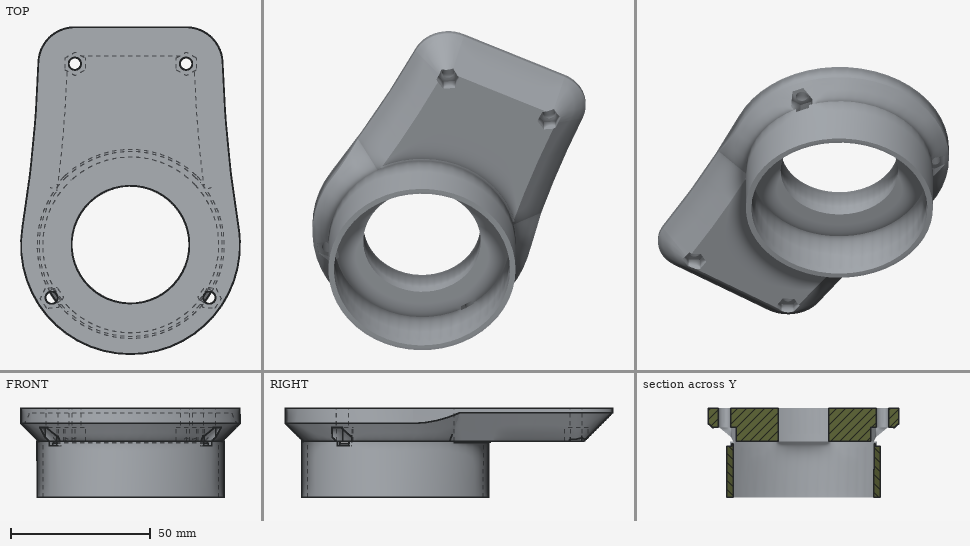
import cadquery as cq
import math

round_end_radius = 39.2
arm_corner_radius = 13.1
arm_corner_x = 19.9
plate_length = 117.1
arm_corner_y = plate_length - round_end_radius - arm_corner_radius
side_arc_radius = 433.3
plate_height = 12.0
arm_edge_height = 1.6
bevel_angle = 45.0
collar_foot_radius = 32.8
port_diameter = 42.0

screw_diameter = 4.3
front_screw_x = 28.2
front_screw_y = -19.0
nut_across_flats = 7.3
nut_pocket_top = -6.9

tube_outer_diameter = 67.0
tube_inner_diameter = 63.0
tube_length = 20.0
tube_outer_radius = tube_outer_diameter / 2

notch_width = 5.0
notch_outer_depth = 1.6
notch_through_depth = 0.7
notch_floor_width = 1.5

bead_width = 0.7
bead_edge_height = 0.2
bead_tube_height = 0.5
bead_start_y = 21.7

front_screws = [(-front_screw_x, front_screw_y), (front_screw_x, front_screw_y)]
arm_screws = [(-arm_corner_x, arm_corner_y), (arm_corner_x, arm_corner_y)]


def plate_outline(z):
    """Plate outline at height z; the side arcs are tangent to the round end and the arm corners."""
    to_end = side_arc_radius + round_end_radius
    to_corner = side_arc_radius + arm_corner_radius
    spacing = math.hypot(arm_corner_x, arm_corner_y)
    along = (to_end**2 - to_corner**2 + spacing**2) / (2 * spacing)
    angle = math.atan2(arm_corner_y, arm_corner_x) - math.acos(along / to_end)
    centre_x = to_end * math.cos(angle)
    centre_y = to_end * math.sin(angle)
    corner_angle = math.atan2(centre_y - arm_corner_y, centre_x - arm_corner_x)
    middle_angle = (angle + corner_angle) / 2

    end_x = round_end_radius * math.cos(angle)
    end_y = round_end_radius * math.sin(angle)
    middle_x = centre_x - side_arc_radius * math.cos(middle_angle)
    middle_y = centre_y - side_arc_radius * math.sin(middle_angle)
    corner_x = arm_corner_x + arm_corner_radius * math.cos(corner_angle)
    corner_y = arm_corner_y + arm_corner_radius * math.sin(corner_angle)
    bend_angle = (corner_angle + math.pi / 2) / 2
    bend_x = arm_corner_x + arm_corner_radius * math.cos(bend_angle)
    bend_y = arm_corner_y + arm_corner_radius * math.sin(bend_angle)
    back_y = arm_corner_y + arm_corner_radius
    return (
        cq.Workplane("XY", origin=(0, 0, z))
        .moveTo(end_x, end_y)
        .threePointArc((middle_x, middle_y), (corner_x, corner_y))
        .threePointArc((bend_x, bend_y), (arm_corner_x, back_y))
        .lineTo(-arm_corner_x, back_y)
        .threePointArc((-bend_x, bend_y), (-corner_x, corner_y))
        .threePointArc((-middle_x, middle_y), (-end_x, end_y))
        .threePointArc((0, -round_end_radius), (end_x, end_y))
        .close()
    )


def bevelled_body():
    """Thin-edged plate whose whole underside edge slopes inward."""
    edge = plate_outline(0).extrude(-arm_edge_height)
    slope = plate_outline(-arm_edge_height).extrude(-(plate_height - arm_edge_height), taper=bevel_angle)
    return edge.union(slope)


def conical_collar():
    """Cone that thickens the round end, trimmed to the plate outline."""
    rim_radius = collar_foot_radius + plate_height * math.tan(math.radians(bevel_angle))
    cone = cq.Workplane("XY").add(
        cq.Solid.makeCone(collar_foot_radius, rim_radius, plate_height, cq.Vector(0, 0, -plate_height))
    )
    return cone.intersect(plate_outline(0).extrude(-plate_height))


def screw_hole(x, y):
    """Clearance hole through the full plate."""
    return cq.Workplane("XY", origin=(x, y, 0)).circle(screw_diameter / 2).extrude(-plate_height)


def nut_pocket(x, y, facing):
    """Hexagonal pocket with one flat facing the given direction, in degrees from +X."""
    corner_to_flat = 30.0
    across_corners = nut_across_flats / math.cos(math.pi / 6)
    pocket = cq.Workplane("XY").polygon(6, across_corners).extrude(-(plate_height + nut_pocket_top))
    return pocket.rotate((0, 0, 0), (0, 0, 1), facing + corner_to_flat).translate((x, y, nut_pocket_top))


def facing_angle(x, y):
    """Direction from the Z axis to a point, in degrees from +X."""
    return math.degrees(math.atan2(y, x))


def make_plate():
    plate = bevelled_body().union(conical_collar())
    plate = plate.cut(cq.Workplane("XY").circle(port_diameter / 2).extrude(-plate_height))
    for x, y in front_screws:
        plate = plate.cut(screw_hole(x, y)).cut(nut_pocket(x, y, facing_angle(x, y)))
    for x, y in arm_screws:
        plate = plate.cut(screw_hole(x, y)).cut(nut_pocket(x, y, 0))
    return plate


def notch(facing):
    """Stepped cutter for one rim notch; only its shallow step passes through the wall."""
    reach = 2 * tube_outer_radius
    rim = cq.Workplane("XY", origin=(0, 0, -plate_height))
    bar = rim.rect(reach, notch_width).extrude(-notch_outer_depth).translate((reach / 2, 0, 0))
    kept_wall = rim.circle(tube_outer_radius - notch_floor_width).extrude(-notch_outer_depth)
    kept_wall = kept_wall.translate((0, 0, -notch_through_depth))
    return bar.cut(kept_wall).rotate((0, 0, 0), (0, 0, 1), facing)


def make_tube():
    tube = (
        cq.Workplane("XY", origin=(0, 0, -plate_height))
        .circle(tube_outer_radius)
        .circle(tube_inner_diameter / 2)
        .extrude(-tube_length)
    )
    for x, y in front_screws:
        tube = tube.cut(notch(facing_angle(x, y)))
    return tube


def make_bead():
    """Part-ring that fills the corner between the arm's underside and the tube wall."""
    bead_radius = tube_outer_radius + bead_width
    half_sweep = 90 - math.degrees(math.asin(bead_start_y / bead_radius))
    section = [
        (tube_outer_radius, -plate_height),
        (bead_radius, -plate_height),
        (bead_radius, -plate_height - bead_edge_height),
        (tube_outer_radius, -plate_height - bead_tube_height),
    ]
    bead = cq.Workplane("XZ").polyline(section).close().revolve(2 * half_sweep, (0, 0, 0), (0, 1, 0))
    return bead.rotate((0, 0, 0), (0, 0, 1), 90 - half_sweep)


plate = make_plate()
tube = make_tube()
bead = make_bead()
result = cq.Compound.makeCompound([plate.solids().val(), tube.solids().val(), bead.solids().val()])